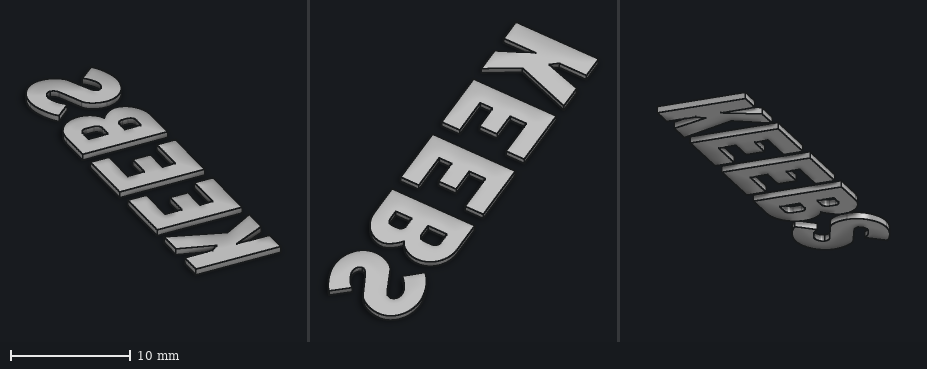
import cadquery as cq

row_length = 33.1
thickness = 0.6
cap_height = 8.05
overshoot = 0.1

b_right = 12.28
e_rights = [19.1, 25.98]
k_right = row_length

e_stem = 2.0
e_arm = 1.8
e_top_reach = 5.4
e_bottom_reach = 5.43
e_middle_reach = 4.2
e_middle_low = 3.35
e_middle_high = 5.05

k_stem = 2.1
k_top_reach = 5.85
k_bottom_reach = 5.9
k_top_inner = 3.6
k_bottom_inner = 3.67
k_elbow = (-4.07, 5.05)
k_upper_notch_y = 4.93
k_lower_notch = (-2.6, 3.3)
k_lower_notch_y = 2.65

b_stem = 2.0
b_flat = 2.98
b_upper_reach = 5.5
b_upper_middle = 5.9
b_lower_reach = 5.6
b_lower_middle = 2.4
b_waist = (-4.45, 4.3)
b_upper_corner_y = 5.05
b_lower_corner_y = 3.9
b_upper_hole = (3.45, 5.0, 6.52, 0.5)
b_lower_hole = (3.57, 1.6, 3.4, 0.53)

s_width = 5.6
s_top = cap_height + overshoot
s_bottom = -overshoot
s_upper_tip = (0.03, 7.08)
s_upper_heel = (1.32, 5.55)
s_lower_tip = (5.82, 1.1)
s_lower_heel = (4.5, 2.58)
s_outer_top_x = 2.78
s_outer_bottom_x = 2.85
s_right_y = 5.72
s_left_y = 2.28
s_lower_hook_x = 2.0
s_lower_hook_y = 2.22
s_lower_hook_bottom = (2.78, 1.62)
s_upper_hook_x = 3.6
s_upper_hook_y = 5.92
s_upper_hook_top = (2.85, 6.45)
s_diagonal_low = ((4.63, 3.8), (2.38, 2.8))
s_diagonal_high = ((1.13, 4.45), (3.25, 5.43))
s_upper_tip_corner_x = 1.13
s_lower_tip_corner_x = 4.63
s_upper_heel_corner_x = 2.05
s_lower_heel_corner_x = 3.7

circle_pull = 0.5523


def bend(outline, start, corner, end):
    """Add a smooth curve whose end tangents cross at corner."""
    handles = [
        tuple(p + circle_pull * (c - p) for p, c in zip(point, corner))
        for point in (start, end)
    ]
    return outline.bezier([start, *handles, end])


def bends(outline, start, *corner_end_pairs):
    """Add a chain of smooth curves, each given by its corner and its end."""
    for corner, end in corner_end_pairs:
        outline = bend(outline, start, corner, end)
        start = end
    return outline


def point_on_line(line, x):
    """Point at x on the line, extended past its ends."""
    (x0, y0), (x1, y1) = line
    return (x, y0 + (x - x0) * (y1 - y0) / (x1 - x0))


def make_e(right):
    points = [
        (0, 0),
        (0, cap_height),
        (-e_top_reach, cap_height),
        (-e_top_reach, cap_height - e_arm),
        (-e_stem, cap_height - e_arm),
        (-e_stem, e_middle_high),
        (-e_middle_reach, e_middle_high),
        (-e_middle_reach, e_middle_low),
        (-e_stem, e_middle_low),
        (-e_stem, e_arm),
        (-e_bottom_reach, e_arm),
        (-e_bottom_reach, 0),
    ]
    return cq.Workplane("XY").polyline(points).close().extrude(thickness).translate((right, 0, 0))


def make_k():
    points = [
        (0, 0),
        (0, cap_height),
        (-k_stem, cap_height),
        (-k_stem, k_upper_notch_y),
        (-k_top_inner, cap_height),
        (-k_top_reach, cap_height),
        k_elbow,
        (-k_bottom_reach, 0),
        (-k_bottom_inner, 0),
        k_lower_notch,
        (-k_stem, k_lower_notch_y),
        (-k_stem, 0),
    ]
    return cq.Workplane("XY").polyline(points).close().extrude(thickness).translate((k_right, 0, 0))


def b_hole(reach, bottom, top, radius):
    """Opening in a lobe of the B, rounded on the lobe side only."""
    return (
        cq.Workplane("XY")
        .moveTo(-(reach + b_stem) / 2, (bottom + top) / 2)
        .rect(reach - b_stem, top - bottom)
        .extrude(thickness)
        .edges("|Z and <X")
        .fillet(radius)
    )


def make_b():
    outline = cq.Workplane("XY").lineTo(0, cap_height).lineTo(-b_flat, cap_height)
    outline = bends(
        outline,
        (-b_flat, cap_height),
        ((-b_upper_reach, cap_height), (-b_upper_reach, b_upper_middle)),
        ((-b_upper_reach, b_upper_corner_y), b_waist),
        ((-b_lower_reach, b_lower_corner_y), (-b_lower_reach, b_lower_middle)),
        ((-b_lower_reach, 0), (-b_flat, 0)),
    )
    plate = outline.close().extrude(thickness)
    for hole in (b_upper_hole, b_lower_hole):
        plate = plate.cut(b_hole(*hole))
    return plate.translate((b_right, 0, 0))


def make_s():
    outline = bends(
        cq.Workplane("XY").moveTo(*s_upper_tip),
        s_upper_tip,
        ((s_upper_tip_corner_x, s_top), (s_outer_top_x, s_top)),
        ((s_width, s_top), (s_width, s_right_y)),
        (point_on_line(s_diagonal_low, s_width), s_diagonal_low[0]),
    )
    outline = bends(
        outline.lineTo(*s_diagonal_low[1]),
        s_diagonal_low[1],
        (point_on_line(s_diagonal_low, s_lower_hook_x), (s_lower_hook_x, s_lower_hook_y)),
        ((s_lower_hook_x, s_lower_hook_bottom[1]), s_lower_hook_bottom),
        ((s_lower_heel_corner_x, s_lower_hook_bottom[1]), s_lower_heel),
    )
    outline = bends(
        outline.lineTo(*s_lower_tip),
        s_lower_tip,
        ((s_lower_tip_corner_x, s_bottom), (s_outer_bottom_x, s_bottom)),
        ((0, s_bottom), (0, s_left_y)),
        (point_on_line(s_diagonal_high, 0), s_diagonal_high[0]),
    )
    outline = bends(
        outline.lineTo(*s_diagonal_high[1]),
        s_diagonal_high[1],
        (point_on_line(s_diagonal_high, s_upper_hook_x), (s_upper_hook_x, s_upper_hook_y)),
        ((s_upper_hook_x, s_upper_hook_top[1]), s_upper_hook_top),
        ((s_upper_heel_corner_x, s_upper_hook_top[1]), s_upper_heel),
    )
    return outline.close().extrude(thickness)


letter_s = make_s()
letter_b = make_b()
letters_e = [make_e(right) for right in e_rights]
letter_k = make_k()

result = cq.Compound.makeCompound(
    [letter_s.val(), letter_b.val(), *[letter.val() for letter in letters_e], letter_k.val()]
)